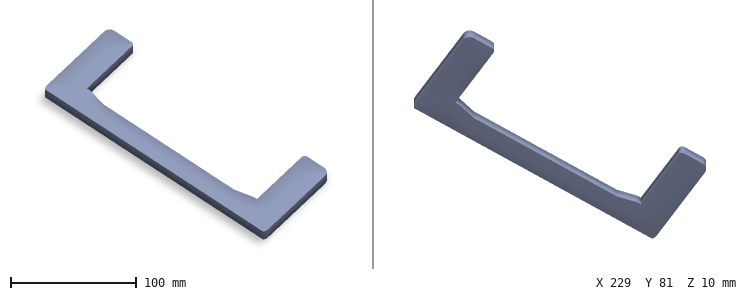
import cadquery as cq
import math

length = 229.0
depth = 81.0
thickness = 10.0

arm_width = 26.5
bar_depth = 18.0
taper_top = 22.2
ledge_width = 3.5
taper_run = 16.7

outer_radius = 6.0
tip_inner_radius = 3.0
base_corner_height = 4.1

half_length = length / 2
arm_inner = half_length - arm_width
taper_start = arm_inner - ledge_width
taper_end = taper_start - taper_run

base_angle = math.asin(base_corner_height / outer_radius)
arc_center_x = half_length - outer_radius


def base_arc_point(angle):
    """Point on the lower right corner arc, at an angle below its tangent point."""
    return (
        arc_center_x + outer_radius * math.cos(angle),
        base_corner_height - outer_radius * math.sin(angle),
    )


def round_corners(body, x, y, radius):
    """Round the vertical edges at (x, y) and (-x, y)."""
    for corner_x in (-x, x):
        edge = cq.selectors.NearestToPointSelector((corner_x, y, thickness / 2))
        body = body.edges("|Z").edges(edge).fillet(radius)
    return body


handle = (
    cq.Workplane("XY")
    .moveTo(0, 0)
    .lineTo(*base_arc_point(base_angle))
    .threePointArc(base_arc_point(base_angle / 2), base_arc_point(0))
    .lineTo(half_length, depth)
    .lineTo(arm_inner, depth)
    .lineTo(arm_inner, taper_top)
    .lineTo(taper_start, taper_top)
    .lineTo(taper_end, bar_depth)
    .lineTo(0, bar_depth)
    .mirrorY()
    .extrude(thickness)
)

handle = round_corners(handle, half_length, depth, outer_radius)
result = round_corners(handle, arm_inner, depth, tip_inner_radius)